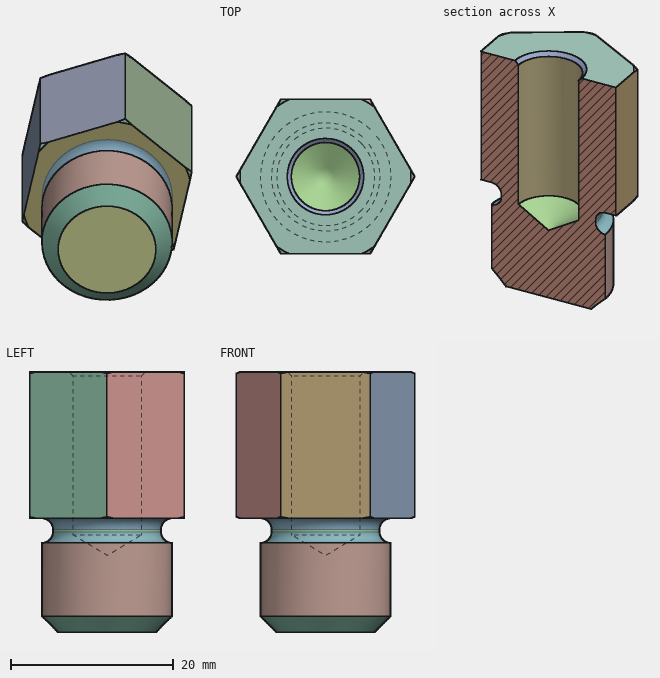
import cadquery as cq
import math

total_height = 32.0
shank_height = 14.0
hex_across_flats = 19.0
hex_across_corners = hex_across_flats / math.cos(math.radians(30))

hex_face_diameter = 20.95
hex_chamfer_angle = 22.5
trim_margin = 1.0

shank_diameter = 16.0
tip_chamfer = 2.0

groove_diameter = 13.3
groove_width = 3.0

bore_diameter = 8.38
bore_depth = 20.0
bore_tip_angle = 118.0
bore_chamfer = 0.5


def make_hexagon():
    """Hexagonal body whose corners are trimmed by a cone at each end."""
    height = total_height - shank_height
    hexagon = (
        cq.Workplane("XY")
        .workplane(offset=shank_height)
        .polygon(6, hex_across_corners)
        .extrude(height)
    )
    face_radius = hex_face_diameter / 2
    trim_radius = hex_across_corners / 2 + trim_margin
    trim_drop = (trim_radius - face_radius) * math.tan(math.radians(hex_chamfer_angle))
    trim_body = (
        cq.Workplane("XZ")
        .moveTo(0, shank_height)
        .lineTo(face_radius, shank_height)
        .lineTo(trim_radius, shank_height + trim_drop)
        .lineTo(trim_radius, total_height - trim_drop)
        .lineTo(face_radius, total_height)
        .lineTo(0, total_height)
        .close()
        .revolve(360, (0, 0, 0), (0, 1, 0))
    )
    return hexagon.intersect(trim_body)


def make_shank():
    """Turned shank with a chamfered tip and a groove with two quarter-round corners."""
    radius = shank_diameter / 2
    groove_radius = groove_diameter / 2
    corner_radius = radius - groove_radius
    groove_bottom = shank_height - groove_width
    return (
        cq.Workplane("XZ")
        .lineTo(radius - tip_chamfer, 0)
        .lineTo(radius, tip_chamfer)
        .lineTo(radius, groove_bottom)
        .radiusArc((groove_radius, groove_bottom + corner_radius), corner_radius)
        .lineTo(groove_radius, shank_height - corner_radius)
        .radiusArc((radius, shank_height), corner_radius)
        .lineTo(0, shank_height)
        .close()
        .revolve(360, (0, 0, 0), (0, 1, 0))
    )


def make_bore():
    """Drilled blind bore with a conical bottom and a chamfered mouth."""
    radius = bore_diameter / 2
    bore_bottom = total_height - bore_depth
    tip_height = radius / math.tan(math.radians(bore_tip_angle / 2))
    return (
        cq.Workplane("XZ")
        .moveTo(0, bore_bottom - tip_height)
        .lineTo(radius, bore_bottom)
        .lineTo(radius, total_height - bore_chamfer)
        .lineTo(radius + bore_chamfer, total_height)
        .lineTo(0, total_height)
        .close()
        .revolve(360, (0, 0, 0), (0, 1, 0))
    )


result = make_hexagon().union(make_shank()).cut(make_bore())